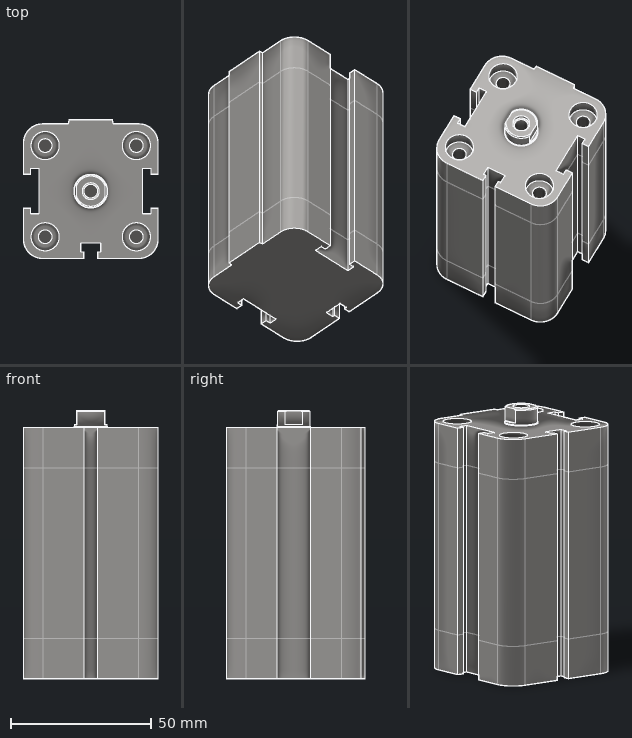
import cadquery as cq

TOTAL_HEIGHT = 95.5
ROD_PROJECTION = 6.0
HOUSING_HEIGHT = TOTAL_HEIGHT - ROD_PROJECTION
HOUSING_WIDTH = 48.0
HALF_WIDTH = HOUSING_WIDTH / 2
CORNER_RADIUS = 7.0
CAP_HEIGHT = 14.4
BARREL_HEIGHT = HOUSING_HEIGHT - 2 * CAP_HEIGHT

PAD_HEIGHT = 1.4
PAD_BASE_WIDTH = 16.0
PAD_FACE_WIDTH = 15.5

SLOT_DEPTH = 5.5
SIDE_MOUTH_WIDTH = 12.0
SIDE_INNER_WIDTH = 16.0
SIDE_LIP = 2.6
FRONT_MOUTH_WIDTH = 5.0
FRONT_INNER_WIDTH = 7.0
FRONT_LIP = 2.4

HOLE_OFFSET = 16.2
HOLE_DIAMETER = 4.9
COUNTERBORE_DIAMETER = 10.0
COUNTERBORE_DEPTH = 5.6

ROD_DIAMETER = 12.0
ROD_SHOULDER_HEIGHT = 0.3
ROD_END_DIAMETER = 11.7
ROD_CHAMFER_WIDTH = 0.5
ROD_CHAMFER_HEIGHT = 0.4
FLATS_WIDTH = 10.0
FLATS_START = 1.0
ROD_HOLE_DIAMETER = 4.9
ROD_HOLE_DEPTH = 12.0
ROD_RECESS_DIAMETER = 6.0
ROD_RECESS_DEPTH = 1.8


def undercut_slot(mouth_width, inner_width, lip):
    """Full-height cutter for a slot that opens through the -Y side."""
    outer_y = -HALF_WIDTH
    lip_y = outer_y + lip
    floor_y = outer_y + SLOT_DEPTH
    return (
        cq.Workplane("XY")
        .polyline([
            (-mouth_width / 2, outer_y),
            (mouth_width / 2, outer_y),
            (mouth_width / 2, lip_y),
            (inner_width / 2, lip_y),
            (inner_width / 2, floor_y),
            (-inner_width / 2, floor_y),
            (-inner_width / 2, lip_y),
            (-mouth_width / 2, lip_y),
        ])
        .close()
        .extrude(HOUSING_HEIGHT)
    )


def profile_section(base_z, height):
    """Length of the housing profile: a rounded square with the pad on +Y and slots on the other sides."""
    square = (
        cq.Workplane("XY", origin=(0, 0, base_z))
        .rect(HOUSING_WIDTH, HOUSING_WIDTH)
        .extrude(height)
        .edges("|Z")
        .fillet(CORNER_RADIUS)
    )
    pad_outer_y = HALF_WIDTH + PAD_HEIGHT
    pad = (
        cq.Workplane("XY", origin=(0, 0, base_z))
        .polyline([
            (-PAD_BASE_WIDTH / 2, 0),
            (PAD_BASE_WIDTH / 2, 0),
            (PAD_BASE_WIDTH / 2, HALF_WIDTH),
            (PAD_FACE_WIDTH / 2, pad_outer_y),
            (-PAD_FACE_WIDTH / 2, pad_outer_y),
            (-PAD_BASE_WIDTH / 2, HALF_WIDTH),
        ])
        .close()
        .extrude(height)
    )
    section = square.union(pad)

    section = section.cut(undercut_slot(FRONT_MOUTH_WIDTH, FRONT_INNER_WIDTH, FRONT_LIP))
    side_slot = undercut_slot(SIDE_MOUTH_WIDTH, SIDE_INNER_WIDTH, SIDE_LIP)
    for angle in (-90, 90):
        section = section.cut(side_slot.rotate((0, 0, 0), (0, 0, 1), angle))
    return section


def make_housing():
    housing = profile_section(0, CAP_HEIGHT)
    housing = housing.union(profile_section(CAP_HEIGHT, BARREL_HEIGHT), clean=False)
    housing = housing.union(profile_section(CAP_HEIGHT + BARREL_HEIGHT, CAP_HEIGHT), clean=False)

    top = cq.Workplane("XY", origin=(0, 0, HOUSING_HEIGHT))
    hole_centers = top.rect(2 * HOLE_OFFSET, 2 * HOLE_OFFSET, forConstruction=True).vertices()
    housing = housing.cut(hole_centers.circle(HOLE_DIAMETER / 2).extrude(-CAP_HEIGHT), clean=False)
    housing = housing.cut(
        hole_centers.circle(COUNTERBORE_DIAMETER / 2).extrude(-COUNTERBORE_DEPTH), clean=False
    )

    return housing.cut(top.circle(ROD_DIAMETER / 2).extrude(-CAP_HEIGHT), clean=False)


def make_rod():
    rod_bottom = HOUSING_HEIGHT - CAP_HEIGHT
    shoulder_z = HOUSING_HEIGHT + ROD_SHOULDER_HEIGHT
    end_radius = ROD_END_DIAMETER / 2

    rod = (
        cq.Workplane("XZ")
        .polyline([
            (0, rod_bottom),
            (ROD_DIAMETER / 2, rod_bottom),
            (ROD_DIAMETER / 2, shoulder_z),
            (end_radius, shoulder_z),
            (end_radius, TOTAL_HEIGHT - ROD_CHAMFER_HEIGHT),
            (end_radius - ROD_CHAMFER_WIDTH, TOTAL_HEIGHT),
            (0, TOTAL_HEIGHT),
        ])
        .close()
        .revolve(360, (0, 0, 0), (0, 1, 0))
    )

    flats_z = HOUSING_HEIGHT + FLATS_START
    flats_height = TOTAL_HEIGHT - flats_z
    flats = (
        cq.Workplane("XY", origin=(0, 0, flats_z))
        .rect(2 * ROD_DIAMETER, 2 * ROD_DIAMETER)
        .rect(FLATS_WIDTH, 2 * ROD_DIAMETER)
        .extrude(flats_height)
    )
    rod = rod.cut(flats)

    end_face = cq.Workplane("XY", origin=(0, 0, TOTAL_HEIGHT))
    rod = rod.cut(end_face.circle(ROD_HOLE_DIAMETER / 2).extrude(-ROD_HOLE_DEPTH))
    return rod.cut(end_face.circle(ROD_RECESS_DIAMETER / 2).extrude(-ROD_RECESS_DEPTH))


housing = make_housing()
rod = make_rod()

result = cq.Compound.makeCompound([housing.val(), rod.val()])